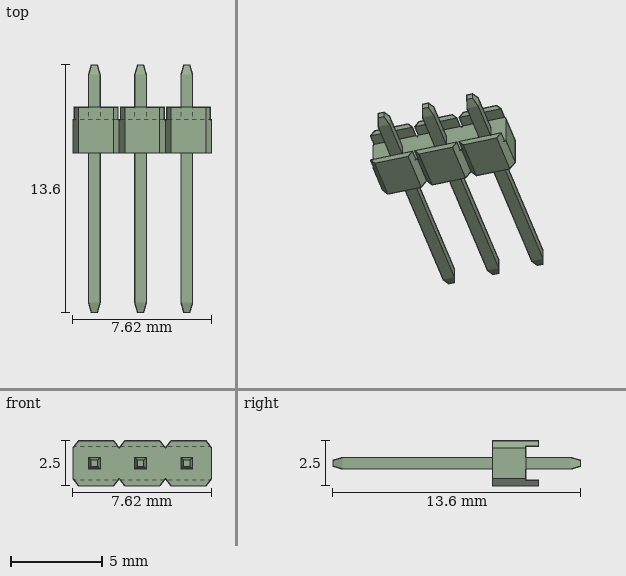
import cadquery as cq

pin_count = 3
housing_width = 7.62
pitch = housing_width / pin_count
housing_height = 2.5
housing_depth = 2.53
bevel_width = 0.31
bevel_height = 0.41

channel_depth = 0.7
lip_thickness = 0.33

pin_length = 13.6
pin_width = 0.65
tip_length = 0.55
tip_width = 0.34
pin_shift = -0.1
rear_pin_length = 2.31

housing_rear = pin_length / 2 - rear_pin_length
cell_centers = [(i - (pin_count - 1) / 2) * pitch for i in range(pin_count)]


def make_cell(center_x):
    """One housing cell: a block with its four long Y edges bevelled."""
    side = pitch / 2
    flat = side - bevel_width
    top = housing_height / 2
    shoulder = top - bevel_height
    outline = [
        (-flat, top), (flat, top), (side, shoulder), (side, -shoulder),
        (flat, -top), (-flat, -top), (-side, -shoulder), (-side, shoulder),
    ]
    return (
        cq.Workplane("XZ", origin=(center_x, housing_rear, 0))
        .polyline(outline).close()
        .extrude(housing_depth)
    )


def make_tip(center_x, base_y, direction):
    """Tapered pin end, starting at base_y and narrowing along +Y or -Y."""
    base_plane = cq.Plane(
        origin=(center_x, base_y, 0), xDir=(1, 0, 0), normal=(0, direction, 0)
    )
    return (
        cq.Workplane(base_plane)
        .rect(pin_width, pin_width)
        .workplane(offset=tip_length)
        .rect(tip_width, tip_width)
        .loft(ruled=True)
    )


def make_pin(center_x):
    """Square pin with a tapered tip at each end."""
    shank_length = pin_length - 2 * tip_length
    pin = cq.Workplane("XY").box(pin_width, shank_length, pin_width).translate((center_x, 0, 0))
    for direction in (-1, 1):
        pin = pin.union(make_tip(center_x, direction * shank_length / 2, direction))
    return pin


housing = make_cell(cell_centers[0])
for cell_x in cell_centers[1:]:
    housing = housing.union(make_cell(cell_x))

channel_height = housing_height - 2 * lip_thickness
channel = cq.Workplane("XY").box(housing_width, channel_depth, channel_height)
housing = housing.cut(channel.translate((0, housing_rear - channel_depth / 2, 0)))

result = housing
for cell_x in cell_centers:
    result = result.union(make_pin(cell_x + pin_shift))